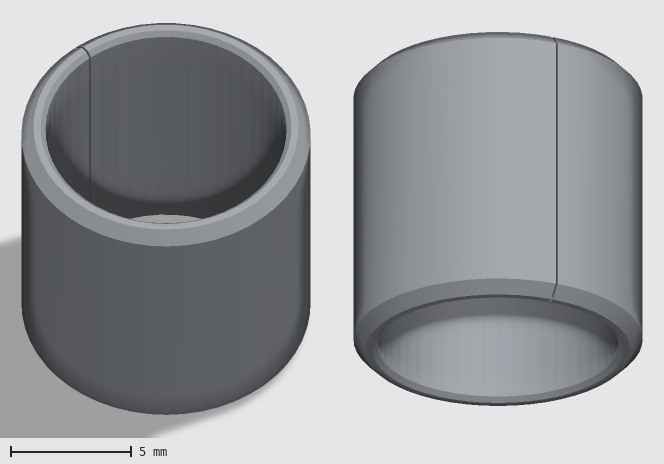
import cadquery as cq

length = 12.0
outer_diameter = 12.0
wall = 1.0
outer_chamfer = 0.5
inner_chamfer = 0.2
seam_angle = 1.0

outer_radius = outer_diameter / 2
bore_radius = outer_radius - wall


def make_wall_section():
    """Wall cross-section in the XZ plane on the -X side, bevelled at all four corners."""
    half_length = length / 2
    outer_x = -outer_radius
    bore_x = -bore_radius
    return (
        cq.Workplane("XZ")
        .moveTo(outer_x, half_length - outer_chamfer)
        .lineTo(outer_x + outer_chamfer, half_length)
        .lineTo(bore_x - inner_chamfer, half_length)
        .lineTo(bore_x, half_length - inner_chamfer)
        .lineTo(bore_x, inner_chamfer - half_length)
        .lineTo(bore_x - inner_chamfer, -half_length)
        .lineTo(outer_x + outer_chamfer, -half_length)
        .lineTo(outer_x, outer_chamfer - half_length)
        .close()
    )


def roll_bush(wall_section):
    """Sweep the wall section around Z, counter-clockwise from -X, short of a full turn by the seam."""
    return wall_section.revolve(360 - seam_angle, (0, 0), (0, 1))


result = roll_bush(make_wall_section())